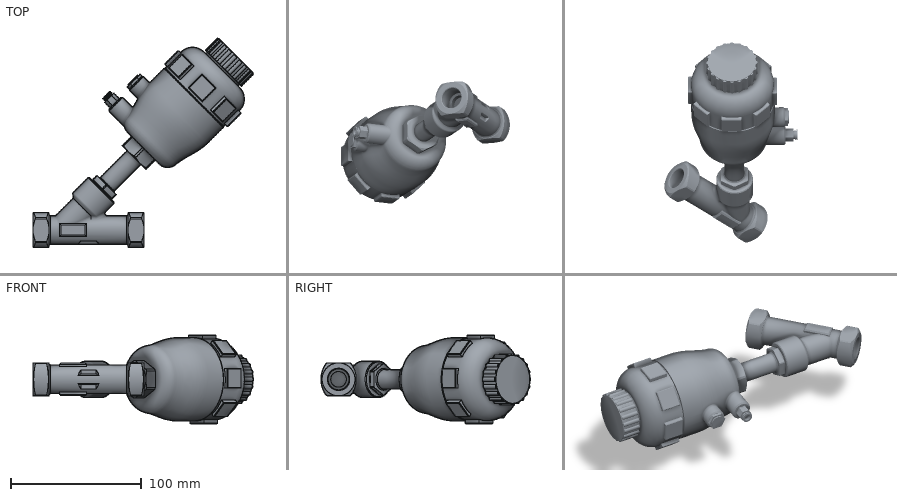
import cadquery as cq
import math

BRANCH_ANGLE = 45.0
BRANCH_START_X = 22.0

PIPE_LENGTH = 85.1
PIPE_DIA = 22.0
THREAD_DIA = 16.0
THREAD_MOUTH_DIA = 17.0
THREAD_DEPTH = 15.2
PASSAGE_DIA = 12.0
PASSAGE_DEPTH = 20.3

END_WIDTH = 12.5
END_HEIGHT = 25.3
END_BREADTH = 27.0
END_FLAT_HALF = 8.6
END_CORNER_BREADTH = 1.0
END_CORNER_HEIGHT = 0.7
END_FACE_DIA = 25.2
END_CONE_RISE = 3.4
END_CONE_LENGTH = 2.4
END_FILLET = 0.8

PLATE_START_X = 20.5
PLATE_LENGTH = 20.6
PLATE_BREADTH = 9.6
PLATE_HEIGHT = 12.5
PLATE_CHAMFER = 1.0

POCKET_FLOOR = 8.3
POCKET_FLOOR_LENGTH = 11.5
POCKET_MOUTH_LENGTH = 16.5
POCKET_FLOOR_Z = 4.0
POCKET_MOUTH_Z = 2.9
POCKET_TOP_Z = 8.5

COLLAR_DIA = 28.0
COLLAR_CONE_LEVEL = 23.5
COLLAR_LEVEL = 26.0
COLLAR_TOP_LEVEL = 43.4
COLLAR_CHAMFER = 0.7
COLLAR_EDGE_FILLET = 1.4
BRANCH_FILLET = 1.7

SPIGOT_DIA = 20.0
SMALL_HEX_LEVEL = 44.3
SMALL_HEX_HEIGHT = 4.4
SMALL_HEX_FLATS = 21.0
SMALL_HEX_CORNER_DIA = 23.6
STEM_DIA = 15.0
STEM_FILLET = 0.8
BIG_HEX_LEVEL = 78.4
BIG_HEX_FLATS = 25.7
BIG_HEX_CORNER_DIA = 28.7
BIG_HEX_CHAMFER_ANGLE = 30.0

HOUSING_LEVEL = 88.5
HOUSING_BASE_DIA = 34.1
HOUSING_WAIST_LEVEL = 96.5
HOUSING_WAIST_DIA = 52.4
HOUSING_SHOULDER_LEVEL = 126.9
HOUSING_DIA = 64.0
HOUSING_TOP_LEVEL = 142.9
HOUSING_WAIST_SLOPE = 0.1
BASE_BULGE = 2.4
SEAM_DIA = 60.0
SEAM_WIDTH = 0.7

CAP_DIA = 63.3
CAP_TOP_LEVEL = 173.3
DOME_RADIUS = 12.3
LUG_COUNT = 8
LUG_WIDTH = 15.2
LUG_SPAN = 68.0
LUG_LEVEL = 145.5
LUG_HEIGHT = 14.9
LUG_OFFSET = -0.8
LUG_CHAMFER = 0.5

KNOB_NECK_DIA = 35.0
KNOB_LEVEL = 175.0
KNOB_TOP_LEVEL = 188.7
KNOB_DIA = 36.8
KNOB_CHAMFER = 0.5
RIB_COUNT = 20
RIB_DIA = 3.5
RIB_CIRCLE_DIA = 35.5

PORT_DIA = 15.0
PORT_REACH = 39.7
PORT_CHAMFER = 1.0
PORT_FILLET = 0.8
EDGE_SAMPLES = (0, 0.3, 0.7, 1)
EDGE_TOLERANCE = 0.02
FITTING_LEVEL = 97.3
PLUG_LEVEL = 119.8

PLUG_HEX_CORNERS = 14.0
PLUG_HEX_LENGTH = 2.2
PLUG_TIP_DIA = 10.0
PLUG_TIP_LENGTH = 0.8

FITTING_HEX_CORNERS = 10.0
FITTING_HEX_LENGTH = 6.0
FITTING_RING_DIA = 8.0
FITTING_RING_WIDTH = 0.7
FITTING_NECK_DIA = 6.2
FITTING_NECK_LENGTH = 3.0
FITTING_BORE_DIA = 5.0
FITTING_BORE_DEPTH = 2.5

angle = math.radians(BRANCH_ANGLE)
BRANCH_PLANE = cq.Plane(
    origin=(BRANCH_START_X, 0, 0),
    xDir=(-math.sin(angle), math.cos(angle), 0),
    normal=(math.cos(angle), math.sin(angle), 0),
)


def on_branch(shape):
    """Move a shape built upright around Z onto the inclined branch axis."""
    return cq.Workplane(shape.val().moved(cq.Location(BRANCH_PLANE)))


def cylinder(dia, bottom, top):
    return cq.Workplane().workplane(offset=bottom).circle(dia / 2).extrude(top - bottom)


def hexagon(flats, corner_dia, bottom, top):
    """Hexagon with two corners along local Y, its corners turned down to corner_dia."""
    corner_to_corner = flats / math.cos(math.pi / 6)
    prism = cq.Workplane().workplane(offset=bottom).polygon(6, corner_to_corner).extrude(top - bottom)
    return prism.rotate((0, 0, 0), (0, 0, 1), 90).intersect(cylinder(corner_dia, bottom, top))


def pipe_end():
    """Pipe end with two flats and two bulged sides, starting at X = 0."""
    flat = END_HEIGHT / 2
    side_y = END_FLAT_HALF + END_CORNER_BREADTH
    side_z = flat - END_CORNER_HEIGHT
    block = (
        cq.Workplane("YZ")
        .moveTo(-END_FLAT_HALF, flat)
        .lineTo(END_FLAT_HALF, flat)
        .lineTo(side_y, side_z)
        .threePointArc((END_BREADTH / 2, 0), (side_y, -side_z))
        .lineTo(END_FLAT_HALF, -flat)
        .lineTo(-END_FLAT_HALF, -flat)
        .lineTo(-side_y, -side_z)
        .threePointArc((-END_BREADTH / 2, 0), (-side_y, side_z))
        .close()
        .extrude(END_WIDTH)
    )
    face_radius = END_FACE_DIA / 2
    turned = (
        cq.Workplane("XY")
        .polyline([
            (0, 0),
            (0, face_radius),
            (END_CONE_LENGTH, face_radius + END_CONE_RISE),
            (END_WIDTH - END_CONE_LENGTH, face_radius + END_CONE_RISE),
            (END_WIDTH, face_radius),
            (END_WIDTH, 0),
        ])
        .close()
        .revolve(360, (0, 0, 0), (1, 0, 0))
    )
    root = (
        cq.Workplane("YZ", origin=(END_WIDTH, 0, 0))
        .circle(PIPE_DIA / 2 + END_FILLET)
        .workplane(offset=END_FILLET)
        .circle(PIPE_DIA / 2)
        .loft()
    )
    return block.intersect(turned).union(root)


def pipe_bore():
    """Threaded mouth, thread bore and blind passage, starting at X = 0."""
    mouth_depth = (THREAD_MOUTH_DIA - THREAD_DIA) / 2
    return (
        cq.Workplane("XY")
        .polyline([
            (0, 0),
            (0, THREAD_MOUTH_DIA / 2),
            (mouth_depth, THREAD_DIA / 2),
            (THREAD_DEPTH, THREAD_DIA / 2),
            (THREAD_DEPTH, PASSAGE_DIA / 2),
            (PASSAGE_DEPTH, PASSAGE_DIA / 2),
            (PASSAGE_DEPTH, 0),
        ])
        .close()
        .revolve(360, (0, 0, 0), (1, 0, 0))
    )


def opposite_end(shape):
    return shape.mirror("YZ", (PIPE_LENGTH / 2, 0, 0))


def name_plate():
    return (
        cq.Workplane("XY")
        .box(PLATE_LENGTH, PLATE_BREADTH, PLATE_HEIGHT, centered=(False, True, False))
        .faces(">Z")
        .chamfer(PLATE_CHAMFER)
        .translate((PLATE_START_X, 0, 0))
    )


def side_pocket():
    """Flat-floored pocket in the -Y side of the pipe, widening outwards and open upwards."""
    floor_height = POCKET_TOP_Z - POCKET_FLOOR_Z
    mouth_height = POCKET_TOP_Z - POCKET_MOUTH_Z
    return (
        cq.Workplane("XZ", origin=(PIPE_LENGTH / 2, -POCKET_FLOOR, 0))
        .center(0, POCKET_TOP_Z - floor_height / 2)
        .rect(POCKET_FLOOR_LENGTH, floor_height)
        .workplane(offset=PIPE_DIA / 2 - POCKET_FLOOR)
        .center(0, (floor_height - mouth_height) / 2)
        .rect(POCKET_MOUTH_LENGTH, mouth_height)
        .loft()
    )


def branch():
    collar_radius = COLLAR_DIA / 2
    neck_radius = PIPE_DIA / 2
    turned = (
        cq.Workplane("XZ")
        .polyline([
            (0, 0),
            (neck_radius, 0),
            (neck_radius, COLLAR_CONE_LEVEL),
            (collar_radius, COLLAR_LEVEL),
            (collar_radius, COLLAR_TOP_LEVEL - COLLAR_CHAMFER),
            (collar_radius - COLLAR_CHAMFER, COLLAR_TOP_LEVEL),
            (0, COLLAR_TOP_LEVEL),
        ])
        .close()
        .revolve(360, (0, 0, 0), (0, 1, 0))
    )
    lower_edge = cq.selectors.NearestToPointSelector((0, 0, COLLAR_LEVEL))
    return on_branch(turned.edges(lower_edge).fillet(COLLAR_EDGE_FILLET))


def branch_joint_edges(joined):
    """Edges where the branch surfaces meet the pipe; they alone are neither lines nor circles."""
    return [edge for edge in joined.edges().vals() if edge.geomType() not in ("LINE", "CIRCLE")]


def make_valve_body():
    pipe = cq.Workplane("YZ").circle(PIPE_DIA / 2).extrude(PIPE_LENGTH)
    body = pipe.union(branch())
    body = body.newObject(branch_joint_edges(body)).fillet(BRANCH_FILLET)
    end = pipe_end()
    plate = name_plate()
    pocket = side_pocket()
    bore = pipe_bore()
    body = body.union(end).union(opposite_end(end))
    body = body.union(plate).union(plate.mirror("XY"))
    body = body.cut(pocket).cut(pocket.mirror("XY"))
    return body.cut(bore).cut(opposite_end(bore))


def big_hexagon():
    """Hexagon under the housing, with the corners of its lower face chamfered to the flats."""
    growth = (BIG_HEX_CORNER_DIA - BIG_HEX_FLATS) / 2
    chamfer_height = growth * math.tan(math.radians(BIG_HEX_CHAMFER_ANGLE))
    turned = cylinder(BIG_HEX_CORNER_DIA, BIG_HEX_LEVEL, HOUSING_LEVEL)
    turned = turned.faces("<Z").chamfer(chamfer_height, growth)
    return hexagon(BIG_HEX_FLATS, BIG_HEX_CORNER_DIA, BIG_HEX_LEVEL, HOUSING_LEVEL).intersect(turned)


def bonnet():
    """Spigot and small hexagon on the valve body, stem, and big hexagon under the housing."""
    small_hex_top = SMALL_HEX_LEVEL + SMALL_HEX_HEIGHT
    spigot = cylinder(SPIGOT_DIA, COLLAR_TOP_LEVEL, SMALL_HEX_LEVEL)
    small_hex = hexagon(SMALL_HEX_FLATS, SMALL_HEX_CORNER_DIA, SMALL_HEX_LEVEL, small_hex_top)
    stem = cylinder(STEM_DIA, small_hex_top, BIG_HEX_LEVEL)
    big_hex = big_hexagon()
    root = (
        cq.Workplane()
        .workplane(offset=small_hex_top)
        .circle(STEM_DIA / 2 + STEM_FILLET)
        .workplane(offset=STEM_FILLET)
        .circle(STEM_DIA / 2)
        .loft()
    )
    return spigot.union(small_hex).union(stem).union(root).union(big_hex)


def bowed_middle(start, end, bulge):
    """Midpoint of a profile stretch, moved outwards by bulge at right angles to its chord."""
    run = end[0] - start[0]
    rise = end[1] - start[1]
    chord = math.hypot(run, rise)
    return (
        (start[0] + end[0]) / 2 + bulge * rise / chord,
        (start[1] + end[1]) / 2 - bulge * run / chord,
    )


def housing_shell():
    base = (HOUSING_BASE_DIA / 2, HOUSING_LEVEL)
    waist = (HOUSING_WAIST_DIA / 2, HOUSING_WAIST_LEVEL)
    shoulder = (HOUSING_DIA / 2, HOUSING_SHOULDER_LEVEL)
    return (
        cq.Workplane("XZ")
        .moveTo(0, HOUSING_LEVEL)
        .lineTo(*base)
        .threePointArc(bowed_middle(base, waist, BASE_BULGE), waist)
        .spline([shoulder], tangents=[(HOUSING_WAIST_SLOPE, 1), (0, 1)], includeCurrent=True)
        .lineTo(HOUSING_DIA / 2, HOUSING_TOP_LEVEL)
        .lineTo(SEAM_DIA / 2, HOUSING_TOP_LEVEL)
        .lineTo(SEAM_DIA / 2, HOUSING_TOP_LEVEL + SEAM_WIDTH)
        .lineTo(0, HOUSING_TOP_LEVEL + SEAM_WIDTH)
        .close()
        .revolve(360, (0, 0, 0), (0, 1, 0))
    )


def port_plane(level, reach):
    """Workplane facing out along a port, its local X along the branch axis."""
    return cq.Workplane(cq.Plane(origin=(reach, 0, level), xDir=(0, 0, 1), normal=(1, 0, 0)))


def port(level):
    return port_plane(level, 0).circle(PORT_DIA / 2).extrude(PORT_REACH).faces(">X").chamfer(PORT_CHAMFER)


def port_joint_edges(shell, level):
    """Edges where a port meets the housing: those lying on the port's cylinder, short of its mouth."""
    edges = []
    for edge in shell.edges().vals():
        points = edge.positions(EDGE_SAMPLES)
        on_port = all(abs(math.hypot(p.y, p.z - level) - PORT_DIA / 2) < EDGE_TOLERANCE for p in points)
        inboard = all(0 < p.x < PORT_REACH - 2 * PORT_CHAMFER for p in points)
        if on_port and inboard:
            edges.append(edge)
    return edges


def plug():
    hex_end = PORT_REACH + PLUG_HEX_LENGTH
    head = port_plane(PLUG_LEVEL, PORT_REACH).polygon(6, PLUG_HEX_CORNERS).extrude(PLUG_HEX_LENGTH)
    tip = port_plane(PLUG_LEVEL, hex_end).circle(PLUG_TIP_DIA / 2).extrude(PLUG_TIP_LENGTH)
    return head.union(tip)


def hose_fitting():
    hex_end = PORT_REACH + FITTING_HEX_LENGTH
    tip_end = hex_end + FITTING_NECK_LENGTH
    head = port_plane(FITTING_LEVEL, PORT_REACH).polygon(6, FITTING_HEX_CORNERS).extrude(FITTING_HEX_LENGTH)
    neck = port_plane(FITTING_LEVEL, hex_end).circle(FITTING_NECK_DIA / 2).extrude(FITTING_NECK_LENGTH)
    fitting = head.union(neck)
    for ring_end in (tip_end, tip_end - 2 * FITTING_RING_WIDTH):
        ring = port_plane(FITTING_LEVEL, ring_end).circle(FITTING_RING_DIA / 2).extrude(-FITTING_RING_WIDTH)
        fitting = fitting.union(ring)
    bore = port_plane(FITTING_LEVEL, tip_end).circle(FITTING_BORE_DIA / 2).extrude(-FITTING_BORE_DEPTH)
    return fitting.cut(bore)


def make_actuator():
    shell = housing_shell()
    for level in (FITTING_LEVEL, PLUG_LEVEL):
        shell = shell.union(port(level))
        shell = shell.newObject(port_joint_edges(shell, level)).fillet(PORT_FILLET)
    return on_branch(shell.union(bonnet()).union(plug()).union(hose_fitting()))


def cap_shell():
    bottom = HOUSING_TOP_LEVEL + SEAM_WIDTH
    return cylinder(CAP_DIA, bottom, CAP_TOP_LEVEL).edges(">Z").fillet(DOME_RADIUS)


def lug():
    return (
        cq.Workplane()
        .box(LUG_SPAN / 2, LUG_WIDTH, LUG_HEIGHT, centered=(False, True, False))
        .faces(">X")
        .chamfer(LUG_CHAMFER)
        .translate((0, LUG_OFFSET, LUG_LEVEL))
    )


def knob():
    neck = cylinder(KNOB_NECK_DIA, CAP_TOP_LEVEL, KNOB_LEVEL)
    grip = cylinder(KNOB_DIA, KNOB_LEVEL, KNOB_TOP_LEVEL)
    ribs = (
        cq.Workplane()
        .workplane(offset=KNOB_LEVEL)
        .polarArray(RIB_CIRCLE_DIA / 2, 0, 360, RIB_COUNT)
        .circle(RIB_DIA / 2)
        .extrude(KNOB_TOP_LEVEL - KNOB_LEVEL - KNOB_CHAMFER)
    )
    return neck.union(grip).union(ribs)


def make_cap():
    cap = cap_shell().union(knob())
    for i in range(LUG_COUNT):
        turn = i * 360 / LUG_COUNT
        cap = cap.union(lug().rotate((0, 0, 0), (0, 0, 1), turn))
    return on_branch(cap)


valve_body = make_valve_body()
actuator = make_actuator()
cap = make_cap()

result = cq.Compound.makeCompound([
    valve_body.solids().val(),
    actuator.solids().val(),
    cap.solids().val(),
])